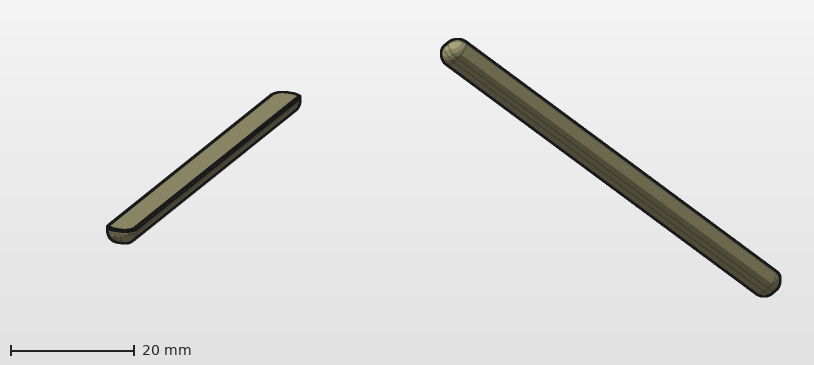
import cadquery as cq

width = 5.0
length = 72.55
height = 2.8

corner_radius = 2.0

bevel_height = 0.2
bevel_inset = 0.35

bar = cq.Workplane("XY").box(width, length, height, centered=(True, True, False))
bar = bar.edges("|Z or <Z").fillet(corner_radius)

result = bar.faces(">Z").edges().chamfer(bevel_height, bevel_inset)